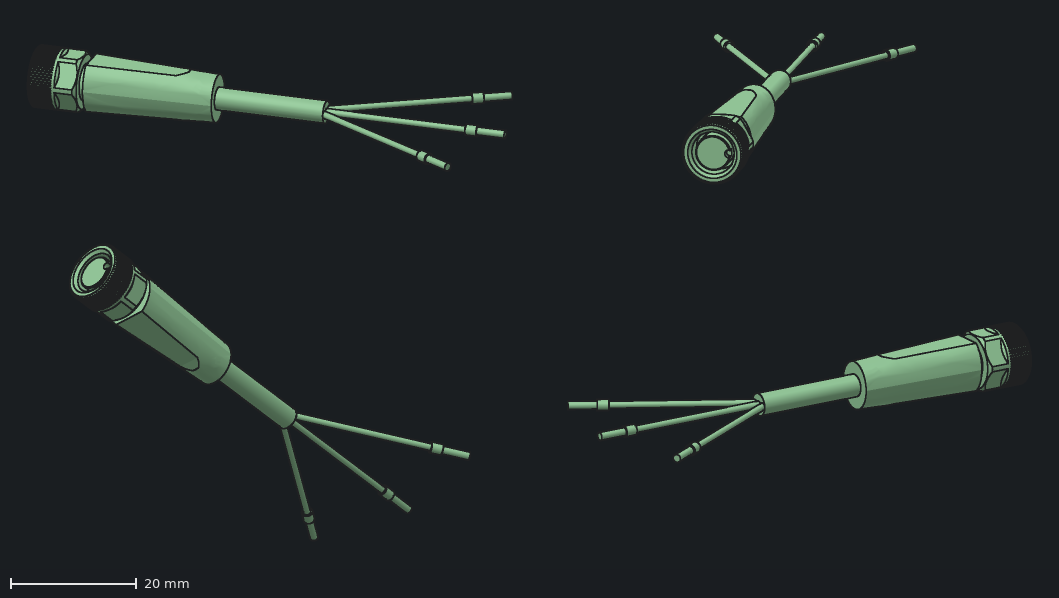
import cadquery as cq
import math

total_length = 78.5
knurl_end = 3.9
collar_end = 5.0
nut_end = 8.1
grip_start = 9.1
grip_end = 30.4
cable_end = 48.5

nut_diameter = 10.0
nut_front_chamfer = 0.3
collar_chamfer = 0.5
nut_rear_chamfer = 0.55
groove_count = 72
groove_depth = 0.15
groove_width = 0.15
hex_sides = 6
hex_across_flats = 9.0
mouth_diameter = 8.0
bore_diameter = 6.9
mouth_depth = 0.55
bore_depth = 3.9

insert_diameter = 5.65
insert_setback = 0.5
insert_chamfer = 0.15
keyway_depth = 1.2
keyway_diameter = 1.2
keyway_offset = 2.5

neck_diameter = 6.0
cable_diameter = 3.7

grip_front_width = 8.6
grip_front_height = 10.1
grip_rear_width = 6.8
grip_rear_height = 7.9
flat_front_height = 4.0
flat_rear_height = 3.8
flat_end = 23.95
ramp_end = 25.7
ramp_end_height = 4.15

wire_diameter = 1.2
ferrule_pin_diameter = 1.3
ferrule_collar_diameter = 1.8
ferrule_pin_length = 4.6
ferrule_collar_length = 1.9
wire_spread_angle = 30.0
wire_spread_width = 33.2
side_wire_offset = 1.2
wire_root = 0.6


def rod(diameter, start, end):
    """Round bar along X between two stations."""
    return cq.Workplane("YZ", origin=(start, 0, 0)).circle(diameter / 2).extrude(end - start)


def knurl():
    """Front of the nut, with V-grooves around it and a ridge on each of the Y and Z axes."""
    rim = nut_diameter / 2
    groove_outline = [
        (rim - groove_depth, 0),
        (rim + groove_depth, -groove_width),
        (rim + groove_depth, groove_width),
    ]
    groove = cq.Workplane("YZ").polyline(groove_outline).close().extrude(knurl_end).val()
    pitch_angle = 360 / groove_count
    first_angle = pitch_angle / 2
    grooves = [
        groove.rotate((0, 0, 0), (1, 0, 0), first_angle + i * pitch_angle)
        for i in range(groove_count)
    ]
    ring = rod(nut_diameter, 0, knurl_end).faces("<X").chamfer(nut_front_chamfer)
    return ring.cut(cq.Compound.makeCompound(grooves))


def hex_grip():
    """Rear of the nut: a round bar with six wrench flats, one of them on top."""
    blank = rod(nut_diameter, knurl_end, nut_end).faces(">X").chamfer(nut_rear_chamfer)
    prism = (
        cq.Workplane("YZ", origin=(knurl_end, 0, 0))
        .polygon(hex_sides, hex_across_flats, circumscribed=True)
        .extrude(nut_end - knurl_end)
        .rotate((0, 0, 0), (1, 0, 0), 180 / hex_sides)
    )
    return blank.intersect(prism)


def coupling_nut():
    collar = rod(nut_diameter, knurl_end, collar_end).faces(">X").chamfer(collar_chamfer)
    return knurl().union(collar).union(hex_grip()).cut(socket())


def socket():
    """Ring-shaped cavity of the nut, open at the front with a conical mouth."""
    profile = [
        (0, 0),
        (0, mouth_diameter / 2),
        (mouth_depth, bore_diameter / 2),
        (bore_depth, bore_diameter / 2),
        (bore_depth, 0),
    ]
    return cq.Workplane("XY").polyline(profile).close().revolve(360, (0, 0, 0), (1, 0, 0))


def insert():
    keyway = rod(keyway_diameter, insert_setback, insert_setback + keyway_depth)
    body = rod(insert_diameter, insert_setback, bore_depth).faces("<X").chamfer(insert_chamfer)
    return body.cut(keyway.translate((0, -keyway_offset, 0)))


def half_section(station, width, height):
    """Upper half of the elliptical grip section."""
    ellipse = cq.Workplane("YZ", origin=(station, 0, 0)).moveTo(width / 2, 0)
    return ellipse.ellipseArc(width / 2, height / 2, 0, 180, startAtCurrent=True).close().val()


def grip():
    """Two lofted halves, joined at the parting line at mid height."""
    front = half_section(grip_start, grip_front_width, grip_front_height)
    rear = half_section(grip_end, grip_rear_width, grip_rear_height)
    upper_half = cq.Workplane(cq.Solid.makeLoft([front, rear], True))
    body = upper_half.union(upper_half.mirror("XY"))
    above_flat = (
        cq.Workplane("XZ")
        .moveTo(grip_start, flat_front_height)
        .lineTo(flat_end, flat_rear_height)
        .lineTo(ramp_end, ramp_end_height)
        .lineTo(ramp_end, grip_front_height)
        .lineTo(grip_start, grip_front_height)
        .close()
        .extrude(grip_front_width, both=True)
    )
    return body.cut(above_flat).cut(above_flat.mirror("XY"))


def wire(length):
    """Wire with its ferrule along X; it starts at the origin, with a root behind it."""
    collar_rear = length - ferrule_pin_length
    collar_front = collar_rear - ferrule_collar_length
    return (
        rod(wire_diameter, -wire_root, collar_front)
        .union(rod(ferrule_collar_diameter, collar_front, collar_rear))
        .union(rod(ferrule_pin_diameter, collar_rear, length))
    )


def wires():
    spread = math.radians(wire_spread_angle)
    tip_reach = wire_spread_width / 2 - ferrule_pin_diameter / 2 * math.cos(spread)
    side_length = (tip_reach - side_wire_offset) / math.sin(spread)
    bundle = wire(total_length - cable_end).translate((cable_end, 0, 0))
    for side in (1, -1):
        side_wire = (
            wire(side_length)
            .rotate((0, 0, 0), (0, 0, 1), side * wire_spread_angle)
            .translate((cable_end, side * side_wire_offset, 0))
        )
        bundle = bundle.union(side_wire)
    return bundle


result = (
    coupling_nut()
    .union(insert())
    .union(rod(neck_diameter, nut_end, grip_start))
    .union(grip())
    .union(rod(cable_diameter, grip_end, cable_end))
    .union(wires())
)